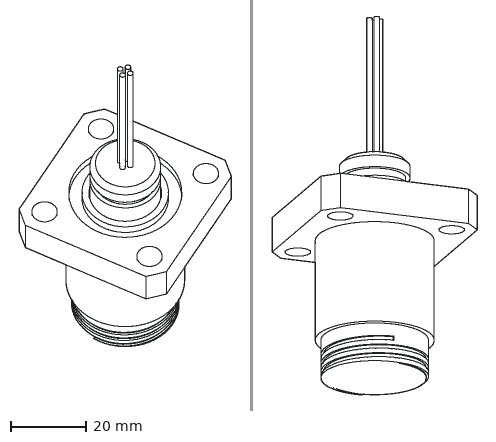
import cadquery as cq

flange_side = 44.4
flange_bottom = 38.5
flange_top = 48.1
corner_cut = 4.0
bolt_hole_diameter = 6.7

recess_outer_diameter = 30.0
recess_inner_diameter = 23.0
recess_depth = 2.4

gap_outer_diameter = 19.2

shell_diameter = 31.6
shell_bottom = 10.6
bolt_spacing = shell_diameter

thread_diameter = 28.6
thread_pitch = 2.4
thread_groove_width = 1.1
thread_groove_depth = 0.6
thread_turns = 3.25
thread_start = -1.2

plug_diameter = 18.8
plug_top = 60.8
plug_chamfer = 1.5
groove_diameter = 16.4
groove_bottom = 53.7
groove_top = 56.1

wire_diameter = 1.5
wire_circle_diameter = 3.0
wire_count = 4
wire_top = 100.7


def cylinder(diameter, bottom, top):
    """Cylinder on the Z axis between two heights."""
    return cq.Workplane("XY").workplane(offset=bottom).circle(diameter / 2).extrude(top - bottom)


def ring(outer_diameter, inner_diameter, bottom, top):
    """Plain ring on the Z axis between two heights."""
    return cylinder(outer_diameter, bottom, top).cut(cylinder(inner_diameter, bottom, top))


def make_flange():
    """Square plate with cut corners, four bolt holes, the ring-shaped recess and the gap."""
    plate = (
        cq.Workplane("XY")
        .workplane(offset=flange_bottom)
        .rect(flange_side, flange_side)
        .extrude(flange_top - flange_bottom)
        .edges("|Z")
        .chamfer(corner_cut)
        .faces(">Z")
        .workplane()
        .rect(bolt_spacing, bolt_spacing, forConstruction=True)
        .vertices()
        .hole(bolt_hole_diameter)
    )
    recess = ring(recess_outer_diameter, recess_inner_diameter, flange_top - recess_depth, flange_top)
    gap = ring(gap_outer_diameter, plug_diameter, flange_top - recess_depth, flange_top)
    return plate.cut(recess).cut(gap)


def make_threaded_end():
    """Cylinder with a right-handed helical groove that runs out below the shell."""
    radius = thread_diameter / 2
    path = cq.Wire.makeHelix(thread_pitch, thread_pitch * thread_turns, radius, cq.Vector(0, 0, thread_start))
    cutter = (
        cq.Workplane("XZ")
        .center(radius, thread_start)
        .rect(2 * thread_groove_depth, thread_groove_width)
        .sweep(cq.Workplane(obj=path), isFrenet=True)
    )
    return cylinder(thread_diameter, 0, shell_bottom).cut(cutter)


def make_plug():
    """Round plug with a chamfered top and a groove around it."""
    plug = cylinder(plug_diameter, flange_top, plug_top).faces(">Z").chamfer(plug_chamfer)
    return plug.cut(ring(plug_diameter, groove_diameter, groove_bottom, groove_top))


def make_wires():
    """Straight wires standing on the plug, evenly spaced on a circle."""
    return (
        cq.Workplane("XY")
        .workplane(offset=plug_top)
        .polarArray(wire_circle_diameter / 2, 0, 360, wire_count)
        .circle(wire_diameter / 2)
        .extrude(wire_top - plug_top)
    )


shell = cylinder(shell_diameter, shell_bottom, flange_bottom)
result = make_threaded_end().union(shell).union(make_flange()).union(make_plug()).union(make_wires())